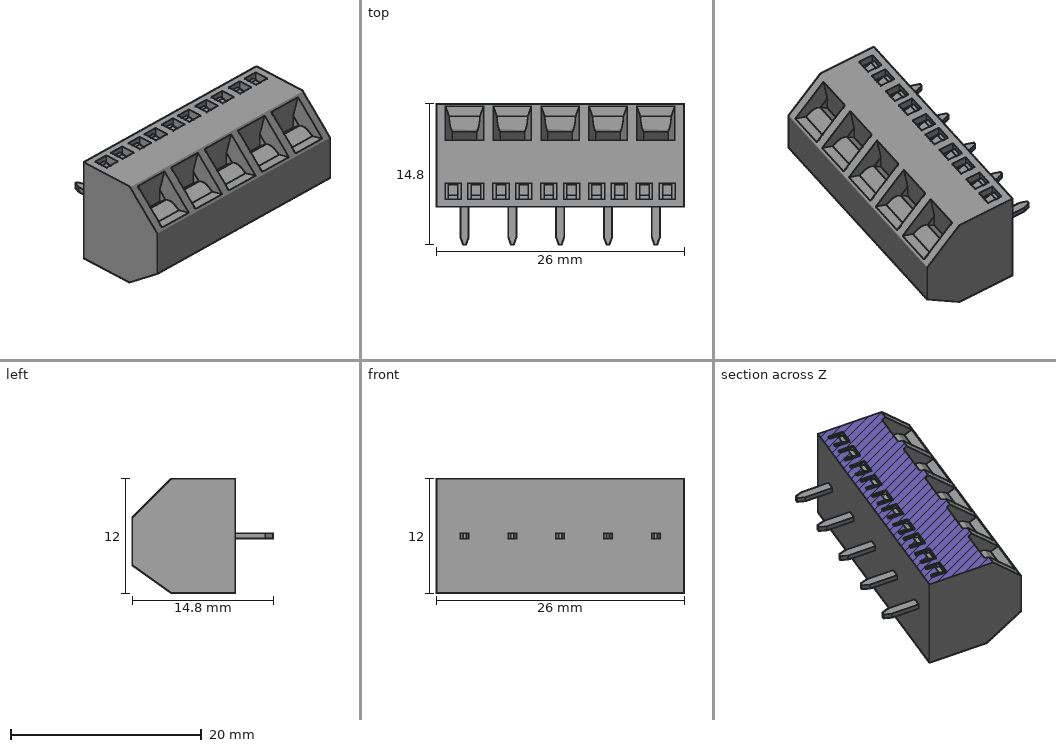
import cadquery as cq
import math

length = 26.0
body_depth = 10.82
height = 12.0
top_chamfer = 4.08
bottom_chamfer_depth = 4.08
bottom_chamfer_height = 2.9
ridge_radius = 0.3

pole_count = 5
pitch = 5.02
pole_positions = [length / 2 + (i - (pole_count - 1) / 2) * pitch for i in range(pole_count)]

pin_length = 3.98
pin_width = 0.88
pin_thickness = 0.6
pin_tip_length = 0.8
pin_tip_width = 0.3

pocket_size = 1.7
pocket_depth = 1.0
pocket_offset = 1.2
pocket_centre_y = 1.65
wedge_width = 1.0
wedge_land = 0.42
wedge_length = 1.53
wedge_angle = 20.0

opening_width = 4.0
opening_rear = 0.23
opening_front = 3.8
ledge_front = 1.3
hump_front = 2.9
hump_rise = 0.73
hump_start_angle = 36.0
hump_end_angle = -15.0
floor_angle = 35.0
throat_width = 2.57
funnel_draft = 27.0


def make_body():
    body = (
        cq.Workplane("YZ")
        .moveTo(0, 0)
        .lineTo(body_depth - bottom_chamfer_depth, 0)
        .lineTo(body_depth, bottom_chamfer_height)
        .lineTo(body_depth, height - top_chamfer)
        .lineTo(body_depth - top_chamfer, height)
        .lineTo(0, height)
        .close()
        .extrude(length)
    )
    rear_edge = cq.selectors.NearestToPointSelector((length / 2, body_depth, height - top_chamfer))
    top_edge = cq.selectors.NearestToPointSelector((length / 2, body_depth - top_chamfer, height))
    return body.edges(rear_edge + top_edge).fillet(ridge_radius)


def make_pin(x):
    half_width = pin_width / 2
    half_tip = pin_tip_width / 2
    shoulder_y = pin_tip_length - pin_length
    outline = [
        (x - half_width, 0),
        (x - half_width, shoulder_y),
        (x - half_tip, -pin_length),
        (x + half_tip, -pin_length),
        (x + half_width, shoulder_y),
        (x + half_width, 0),
    ]
    pin_bottom = (height - pin_thickness) / 2
    return cq.Workplane("XY", origin=(0, 0, pin_bottom)).polyline(outline).close().extrude(pin_thickness)


def make_pocket(x):
    """Square pocket minus the wedge that stands on its floor against the front wall."""
    floor_z = height - pocket_depth
    front_y = pocket_centre_y - pocket_size / 2
    wedge_height = (wedge_length - wedge_land) * math.tan(math.radians(wedge_angle))
    pocket = cq.Workplane("XY").box(pocket_size, pocket_size, pocket_depth, centered=(True, True, False))
    pocket = pocket.translate((x, pocket_centre_y, floor_z))
    wedge_outline = [
        (front_y, floor_z),
        (front_y + wedge_length, floor_z),
        (front_y + wedge_land, floor_z + wedge_height),
        (front_y, floor_z + wedge_height),
    ]
    wedge = (
        cq.Workplane("YZ", origin=(x, 0, 0))
        .polyline(wedge_outline)
        .close()
        .extrude(wedge_width / 2, both=True)
    )
    return pocket.cut(wedge)


def make_opening(x):
    """Humped floor profile, narrowed sideways by a funnel that follows the slope."""
    ledge_z = height - top_chamfer + opening_rear
    floor_drop = (opening_front - hump_front) * math.tan(math.radians(floor_angle))
    hump_tangents = [
        (-math.cos(math.radians(angle)), math.sin(math.radians(angle)))
        for angle in (hump_start_angle, hump_end_angle)
    ]
    profile = (
        cq.Workplane("YZ", origin=(x - opening_width, 0, 0))
        .moveTo(body_depth - opening_rear, ledge_z)
        .lineTo(body_depth - ledge_front, ledge_z)
        .spline([(body_depth - hump_front, ledge_z + hump_rise)], tangents=hump_tangents, includeCurrent=True)
        .lineTo(body_depth - opening_front, ledge_z + hump_rise - floor_drop)
        .lineTo(body_depth - opening_front, height - top_chamfer + opening_front)
        .close()
        .extrude(2 * opening_width)
    )
    throat_depth = (opening_width - throat_width) / 2 / math.tan(math.radians(funnel_draft))
    section = [
        (-opening_width / 2, 0),
        (opening_width / 2, 0),
        (throat_width / 2, -throat_depth),
        (throat_width / 2, -height),
        (-throat_width / 2, -height),
        (-throat_width / 2, -throat_depth),
    ]
    up_slope = cq.Plane(origin=(x, body_depth, height - top_chamfer), xDir=(1, 0, 0), normal=(0, -1, 1))
    funnel = cq.Workplane(up_slope).polyline(section).close().extrude(height, both=True)
    return profile.intersect(funnel)


result = make_body()
for pole_x in pole_positions:
    result = result.union(make_pin(pole_x))
    result = result.cut(make_opening(pole_x))
    for side in (-1, 1):
        result = result.cut(make_pocket(pole_x + side * pocket_offset))